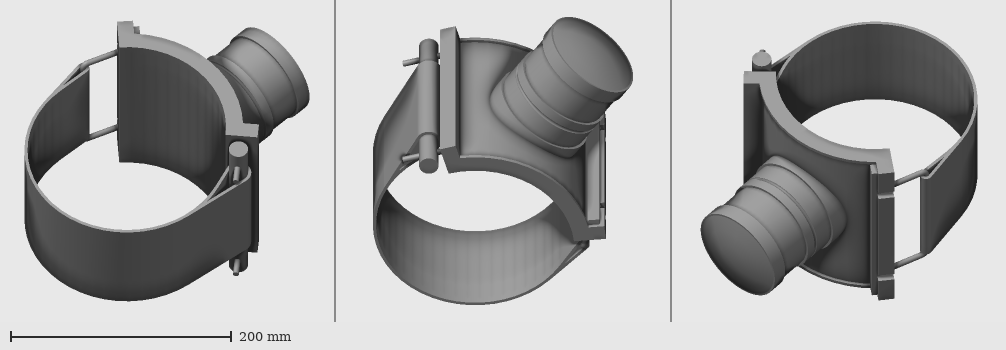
import cadquery as cq
import math


PIPE_RADIUS = 90.0
SADDLE_HEIGHT = 176.0
SHELL_RADIUS = 103.0
RIM_RADIUS = 105.5
RIM_HEIGHT = 3.5
FLANGE_ANGLE = 40.0
FLANGE_REACH = 119.0
FLANGE_THICKNESS = 14.7

BRANCH_RADIUS = 90.0 / 2
NECK_RADIUS = 85.5 / 2
SOCKET_RADIUS = 94.5 / 2
SOCKET_TOP = 111.0
GROOVE_Y = 131.7
GROOVE_RADIUS = 1.7
NECK_BOTTOM = 142.3
NECK_TOP = 173.6
DOME_BASE = 187.7
DOME_TOP = 194.5
DOME_RADIUS = 43.0

STRAP_THICKNESS = 3.0
STRAP_HEIGHT = 105.0
STRAP_RADIUS = PIPE_RADIUS + STRAP_THICKNESS

BAR_RADIUS = 17.5 / 2
BAR_REACH = 103.2
BAR_DROP = 15.0
SCREW_RADIUS = 5.5 / 2
SCREW_TAIL = 24.2
SCREW_Z = 70.5

WIRE_RADIUS = 5.5 / 2
WIRE_X = -94.0
WIRE_Y = 36.5
WIRE_LEG_Z = 57.2
WIRE_BEND_RADIUS = 4.5
WIRE_ENTRY_REACH = 107.5
WIRE_EMBEDMENT = 0.3
SLOT_REACH = 105.0
SLOT_WIDTH = 7.8
ANCHOR_REACH = 104.0
ANCHOR_WIDTH = 11.0
ANCHOR_THICKNESS = 5.5

LEFT = -1
RIGHT = 1


def polar(radius, degrees, center=(0, 0)):
    """Point at a radius and angle about a center."""
    angle = math.radians(degrees)
    return center[0] + radius * math.cos(angle), center[1] + radius * math.sin(angle)


def flange_point(side, reach, rise):
    """Point at a reach along one flange face and a rise above that face."""
    along, across = polar(reach, FLANGE_ANGLE, polar(rise, FLANGE_ANGLE + 90))
    return side * along, across


def prism(points, height):
    """Straight-sided outline extruded evenly above and below Z = 0."""
    return cq.Workplane("XY").polyline(points).close().extrude(height / 2, both=True)


def flange_block(side, reaches, rises, height):
    """Rectangular prism aligned with one flange face."""
    near, far = reaches
    low, high = rises
    corners = [(near, low), (far, low), (far, high), (near, high)]
    return prism([flange_point(side, reach, rise) for reach, rise in corners], height)



def saddle_slice(outer_radius, bottom, height):
    """Arched shell with a flange along each edge."""
    root_reach = math.sqrt(outer_radius**2 - FLANGE_THICKNESS**2)
    return (
        cq.Workplane("XY", origin=(0, 0, bottom))
        .moveTo(*flange_point(LEFT, PIPE_RADIUS, 0))
        .threePointArc((0, PIPE_RADIUS), flange_point(RIGHT, PIPE_RADIUS, 0))
        .lineTo(*flange_point(RIGHT, FLANGE_REACH, 0))
        .lineTo(*flange_point(RIGHT, FLANGE_REACH, FLANGE_THICKNESS))
        .lineTo(*flange_point(RIGHT, root_reach, FLANGE_THICKNESS))
        .threePointArc((0, outer_radius), flange_point(LEFT, root_reach, FLANGE_THICKNESS))
        .lineTo(*flange_point(LEFT, FLANGE_REACH, FLANGE_THICKNESS))
        .lineTo(*flange_point(LEFT, FLANGE_REACH, 0))
        .close()
        .extrude(height)
    )


def make_branch():
    """Solid branch with a neck, a round groove and a domed cap, turned about Y."""
    dome_height = DOME_TOP - DOME_BASE
    sphere_radius = (DOME_RADIUS**2 + dome_height**2) / (2 * dome_height)
    mid_x = DOME_RADIUS / 2
    mid_y = DOME_TOP - sphere_radius + math.sqrt(sphere_radius**2 - mid_x**2)
    return (
        cq.Workplane("XY")
        .moveTo(0, PIPE_RADIUS)
        .lineTo(SOCKET_RADIUS, PIPE_RADIUS)
        .lineTo(SOCKET_RADIUS, SOCKET_TOP)
        .lineTo(BRANCH_RADIUS, SOCKET_TOP)
        .lineTo(BRANCH_RADIUS, GROOVE_Y - GROOVE_RADIUS)
        .threePointArc((BRANCH_RADIUS - GROOVE_RADIUS, GROOVE_Y), (BRANCH_RADIUS, GROOVE_Y + GROOVE_RADIUS))
        .lineTo(BRANCH_RADIUS, NECK_BOTTOM)
        .lineTo(NECK_RADIUS, NECK_BOTTOM)
        .lineTo(NECK_RADIUS, NECK_TOP)
        .lineTo(BRANCH_RADIUS, NECK_TOP)
        .lineTo(BRANCH_RADIUS, DOME_BASE)
        .lineTo(DOME_RADIUS, DOME_BASE)
        .threePointArc((mid_x, mid_y), (0, DOME_TOP))
        .close()
        .revolve(360, (0, 0), (0, 1))
        .cut(cq.Workplane("XY").circle(PIPE_RADIUS).extrude(SOCKET_RADIUS, both=True))
    )


def make_saddle():
    """Shell with end rims and branch, slotted on the -X flange for the wire legs."""
    saddle = saddle_slice(SHELL_RADIUS, -SADDLE_HEIGHT / 2, SADDLE_HEIGHT)
    for rim_bottom in (-SADDLE_HEIGHT / 2, SADDLE_HEIGHT / 2 - RIM_HEIGHT):
        saddle = saddle.union(saddle_slice(RIM_RADIUS, rim_bottom, RIM_HEIGHT))
    saddle = saddle.union(make_branch())
    slot = flange_block(LEFT, (SLOT_REACH, FLANGE_REACH), (0, FLANGE_THICKNESS), SLOT_WIDTH)
    for leg_z in (-WIRE_LEG_Z, WIRE_LEG_Z):
        saddle = saddle.cut(slot.translate((0, 0, leg_z)))
    return saddle.cut(make_wire())



def arc_strip(center, inner_radius, start, end):
    """Curved length of strap from one angle to another, counter-clockwise."""
    outer_radius = inner_radius + STRAP_THICKNESS
    middle = (start + end) / 2
    return (
        cq.Workplane("XY")
        .moveTo(*polar(inner_radius, start, center))
        .threePointArc(polar(inner_radius, middle, center), polar(inner_radius, end, center))
        .lineTo(*polar(outer_radius, end, center))
        .threePointArc(polar(outer_radius, middle, center), polar(outer_radius, start, center))
        .close()
        .extrude(STRAP_HEIGHT / 2, both=True)
    )


def straight_strip(start, end, normal):
    """Straight length of strap that thickens from its start-end line along a normal angle."""
    corners = [start, end, polar(STRAP_THICKNESS, normal, end), polar(STRAP_THICKNESS, normal, start)]
    return prism(corners, STRAP_HEIGHT)


def loop_angles(side, center, core_radius):
    """Tangent angles of the outer and inner legs of the loop around a core."""
    distance = math.hypot(*center)
    direction = math.degrees(math.atan2(center[1], center[0]))
    outer_turn = math.degrees(math.acos((PIPE_RADIUS - core_radius) / distance))
    inner_turn = math.degrees(math.acos((STRAP_RADIUS + core_radius) / distance))
    return direction - side * outer_turn, direction - side * inner_turn


def make_loop(side, center, core_radius):
    """Strap end: outer leg, turn around the core, and inner leg, all tangent."""
    outer_angle, inner_angle = loop_angles(side, center, core_radius)
    loop_radius = core_radius + STRAP_THICKNESS
    outer_leg = straight_strip(
        polar(PIPE_RADIUS, outer_angle), polar(core_radius, outer_angle, center), outer_angle
    )
    inner_leg = straight_strip(
        polar(PIPE_RADIUS, inner_angle), polar(-loop_radius, inner_angle, center), inner_angle
    )
    turn = arc_strip(center, core_radius, outer_angle, inner_angle + side * 180)
    return outer_leg.union(turn).union(inner_leg)


def make_wire():
    """U-shaped wire: an upright through the strap loop and two legs to the flange slots."""
    entry_x, entry_y = flange_point(LEFT, WIRE_ENTRY_REACH, 0)
    run_x = entry_x - WIRE_X
    run_y = entry_y - WIRE_Y
    run = math.hypot(run_x, run_y)
    tilt = math.atan2(run_y, run_x) - math.radians(90 - FLANGE_ANGLE)
    leg_length = run + FLANGE_THICKNESS / math.cos(tilt) + WIRE_EMBEDMENT

    side_plane = cq.Plane(
        origin=(WIRE_X, WIRE_Y, 0), xDir=(run_x, run_y, 0), normal=(run_y, -run_x, 0)
    )
    bend_start = WIRE_LEG_Z - WIRE_BEND_RADIUS
    bend_side = WIRE_BEND_RADIUS * (1 - math.sqrt(0.5))
    bend_z = WIRE_LEG_Z - bend_side
    path = (
        cq.Workplane(side_plane)
        .moveTo(leg_length, WIRE_LEG_Z)
        .lineTo(WIRE_BEND_RADIUS, WIRE_LEG_Z)
        .threePointArc((bend_side, bend_z), (0, bend_start))
        .lineTo(0, -bend_start)
        .threePointArc((bend_side, -bend_z), (WIRE_BEND_RADIUS, -WIRE_LEG_Z))
        .lineTo(leg_length, -WIRE_LEG_Z)
    )
    leg_end = side_plane.toWorldCoords((leg_length, WIRE_LEG_Z, 0))
    end_plane = cq.Plane(origin=leg_end, xDir=(0, 0, 1), normal=(-run_x, -run_y, 0))
    return cq.Workplane(end_plane).circle(WIRE_RADIUS).sweep(path)


def make_anchor():
    """Strip behind the -X flange, between the rims, that holds the wire ends."""
    return flange_block(
        LEFT,
        (ANCHOR_REACH, ANCHOR_REACH + ANCHOR_WIDTH),
        (FLANGE_THICKNESS, FLANGE_THICKNESS + ANCHOR_THICKNESS),
        SADDLE_HEIGHT - 2 * RIM_HEIGHT,
    )


def make_screw(z):
    """Plain round screw from the +X flange face through the clamp bar."""
    start_x, start_y = flange_point(RIGHT, BAR_REACH, 0)
    end_x, end_y = flange_point(RIGHT, BAR_REACH, -BAR_DROP - SCREW_TAIL)
    plane = cq.Plane(
        origin=(start_x, start_y, z), xDir=(0, 0, 1), normal=(end_x - start_x, end_y - start_y, 0)
    )
    return cq.Workplane(plane).circle(SCREW_RADIUS).extrude(BAR_DROP + SCREW_TAIL)


def make_clamp():
    """Strap looped around the bar and the wire, with screws and anchor strip."""
    bar_center = flange_point(RIGHT, BAR_REACH, -BAR_DROP)
    wire_center = (WIRE_X, WIRE_Y)
    band_start = loop_angles(LEFT, wire_center, WIRE_RADIUS)[1]
    band_end = loop_angles(RIGHT, bar_center, BAR_RADIUS)[1] + 360
    bar = cq.Workplane("XY").center(*bar_center).circle(BAR_RADIUS).extrude(SADDLE_HEIGHT / 2, both=True)

    clamp = arc_strip((0, 0), PIPE_RADIUS, band_start, band_end)
    clamp = clamp.union(make_loop(RIGHT, bar_center, BAR_RADIUS)).union(bar)
    clamp = clamp.union(make_loop(LEFT, wire_center, WIRE_RADIUS)).union(make_wire())
    clamp = clamp.union(make_anchor())
    for screw_z in (-SCREW_Z, SCREW_Z):
        clamp = clamp.union(make_screw(screw_z))
    return clamp


saddle = make_saddle()
clamp = make_clamp()
result = cq.Compound.makeCompound([saddle.solids().val(), clamp.solids().val()])